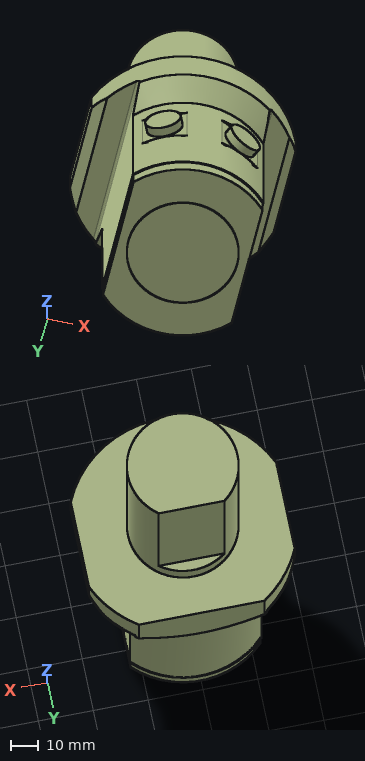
import cadquery as cq
import math


shank_diameter = 39.99
shank_length = 63.0
shank_flat_y = 16.0
shank_flat_start = 7.0

flange_radius = 41.0
flange_half_width = 37.5
flange_back_y = 34.0
flange_rim_bottom = -14.5
flange_side_bottom = -13.0
flange_side_chamfer = 4.0

body_radius = 33.5
body_half_width = 24.0
cone_bottom = -22.0
body_bottom = -69.0
root_fillet = 1.0

screw_diameter = 13.0
screw_angle = 25.0
screw_z = -39.0
screw_end_radius = 36.0
seat_radius = 32.5
seat_height = 18.0

cap_inset = 0.3
boss_diameter = 40.0
boss_height = 0.3
overall_bottom = -75.0
cap_bottom = overall_bottom + boss_height

clearance = 10.0


def make_turned_body():
    """Flange rim, cone and cylindrical body as one turned shape."""
    profile = [
        (0, 0),
        (flange_radius, 0),
        (flange_radius, flange_rim_bottom),
        (body_radius, cone_bottom),
        (body_radius, body_bottom),
        (0, body_bottom),
    ]
    return cq.Workplane("XZ").polyline(profile).close().revolve(360, (0, 0, 0), (0, 1, 0))


def make_side_half():
    """Half prism from the mid-plane to +X: flange side, its chamfer, root fillet and body flat."""
    front_y = -flange_radius - clearance
    return (
        cq.Workplane("XZ", origin=(0, flange_back_y, 0))
        .lineTo(flange_half_width, 0)
        .lineTo(flange_half_width, flange_side_bottom + flange_side_chamfer)
        .lineTo(flange_half_width - flange_side_chamfer, flange_side_bottom)
        .lineTo(body_half_width + root_fillet, flange_side_bottom)
        .tangentArcPoint((-root_fillet, -root_fillet))
        .lineTo(body_half_width, body_bottom)
        .lineTo(0, body_bottom)
        .close()
        .extrude(flange_back_y - front_y)
    )


def make_silhouette():
    """Full prism that bounds the holder along X and at the flange back."""
    right_half = make_side_half()
    return right_half.union(right_half.mirror("YZ"))


def make_shank():
    """Round shank with a flat on its back that stops above the flange."""
    flat_length = shank_length - shank_flat_start
    shank = cq.Workplane("XY").circle(shank_diameter / 2).extrude(shank_length)
    flat_cut = cq.Workplane("XY", origin=(0, shank_flat_y, shank_flat_start)).box(
        shank_diameter, shank_diameter, flat_length, centered=(True, False, False)
    )
    return shank.cut(flat_cut)


def screw_plane(angle, radius):
    """Plane facing radially outward, turned by angle from -Y, at the given radius."""
    direction_x = math.sin(math.radians(angle))
    direction_y = -math.cos(math.radians(angle))
    return cq.Plane(
        origin=(radius * direction_x, radius * direction_y, screw_z),
        xDir=(-direction_y, direction_x, 0),
        normal=(direction_x, direction_y, 0),
    )


def add_screw(holder, angle):
    """Cut a flat seat into the body and stand a screw head on it."""
    seat_plane = screw_plane(angle, seat_radius)
    seat_width = 2 * math.sqrt(body_radius**2 - seat_radius**2)
    seat_cut = cq.Workplane(seat_plane).rect(seat_width, seat_height).extrude(clearance)
    screw = cq.Workplane(seat_plane).circle(screw_diameter / 2).extrude(screw_end_radius - seat_radius)
    return holder.cut(seat_cut).union(screw)


def make_holder():
    holder = make_turned_body().intersect(make_silhouette()).union(make_shank())
    for angle in (-screw_angle, screw_angle):
        holder = add_screw(holder, angle)
    return holder


def make_cap():
    """End plate, slightly smaller than the body all round, with a low round boss."""
    thickness = body_bottom - cap_bottom
    plate = cq.Workplane("XY", origin=(0, 0, cap_bottom)).circle(body_radius - cap_inset).extrude(thickness)
    sides = cq.Workplane("XY", origin=(0, 0, cap_bottom)).box(
        2 * (body_half_width - cap_inset), 2 * body_radius, thickness, centered=(True, True, False)
    )
    boss = cq.Workplane("XY", origin=(0, 0, overall_bottom)).circle(boss_diameter / 2).extrude(boss_height)
    return plate.intersect(sides).union(boss)


holder = make_holder()
cap = make_cap()

result = cq.Compound.makeCompound([holder.val(), cap.val()])